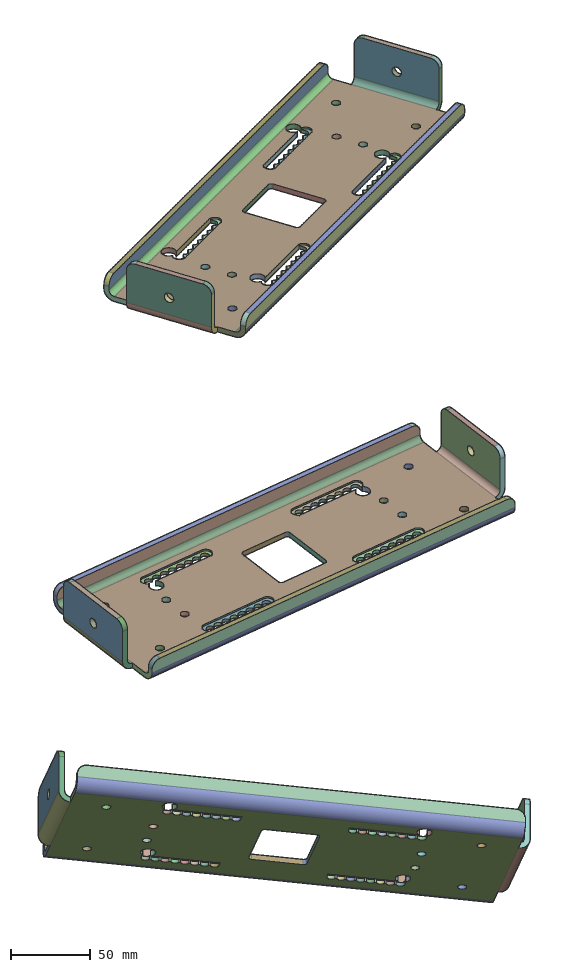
import cadquery as cq

OVERALL_WIDTH = 101.6
OVERALL_LENGTH = 303.53
OVERALL_HEIGHT = 38.1
THICKNESS = 3.81
INNER_BEND_RADIUS = 3.81
OUTER_BEND_RADIUS = INNER_BEND_RADIUS + THICKNESS
BODY_LENGTH = OVERALL_LENGTH - 2 * OUTER_BEND_RADIUS

FLANGE_HEIGHT = 16.51
TAB_WIDTH = 60.96
WALL_CORNER_RADIUS = 6.35
TAB_HOLE_DIAMETER = 6.73
TAB_HOLE_HEIGHT = 20.4

WINDOW_WIDTH = 41.0
WINDOW_LENGTH = 37.5
WINDOW_CORNER_RADIUS = 2.3

OUTER_HOLE_DIAMETER = 5.71
OUTER_HOLE_SPACING_X = 57.15
OUTER_HOLE_SPACING_Y = 241.6
INNER_HOLE_DIAMETER = 5.61
INNER_HOLE_SPACING_X = 19.05
INNER_HOLE_SPACING_Y = 172.72

SLOT_SPACING = 63.5
SCALLOP_DIAMETER = 5.61
SCALLOP_COUNT = 8
SCALLOP_PITCH = 6.35
SCALLOP_RUN = (SCALLOP_COUNT - 1) * SCALLOP_PITCH
LEFT_SCALLOP_X = -30.45
FIRST_SCALLOP_Y = 82.0
SLOT_CENTER_Y = FIRST_SCALLOP_Y - SCALLOP_RUN / 2
CHANNEL_WIDTH = 4.5
RECESS_WIDTH = 8.2
RECESS_LENGTH = 55
RECESS_DEPTH = 1.27
RECESS_OFFSET = 0.6
ENTRY_DIAMETER = 9.525
ENTRY_OFFSET = 7.62


def bent_channel(plane, bend_axis, width, height, length):
    """U-shaped bent sheet: profile on the plane, extruded equally both ways along the bend axis."""
    bend_edges = f"|{bend_axis} and <Z"
    envelope = (
        cq.Workplane(plane)
        .center(0, height / 2)
        .rect(width, height)
        .extrude(length / 2, both=True)
    )
    envelope = envelope.edges(bend_edges).fillet(OUTER_BEND_RADIUS)
    cavity = (
        cq.Workplane(plane)
        .center(0, THICKNESS + height / 2)
        .rect(width - 2 * THICKNESS, height)
        .extrude(length / 2, both=True)
        .edges(bend_edges)
        .fillet(INNER_BEND_RADIUS)
    )
    return envelope.cut(cavity)


def side_flanges():
    """Floor with a long low wall along each side, outer top corners rounded."""
    channel = bent_channel("XZ", "Y", OVERALL_WIDTH, FLANGE_HEIGHT, BODY_LENGTH)
    return channel.edges("|X and >Z").fillet(WALL_CORNER_RADIUS)


def end_tabs():
    """Narrow strip of floor with a tall drilled tab at each end, top corners rounded."""
    channel = bent_channel("YZ", "X", OVERALL_LENGTH, OVERALL_HEIGHT, TAB_WIDTH)
    channel = channel.edges("|Y and >Z").fillet(WALL_CORNER_RADIUS)
    tab_holes = (
        cq.Workplane("XZ")
        .center(0, TAB_HOLE_HEIGHT)
        .circle(TAB_HOLE_DIAMETER / 2)
        .extrude(OVERALL_LENGTH, both=True)
    )
    return channel.cut(tab_holes)


def floor_holes(diameter, x_spacing, y_spacing):
    """Four through holes centered on the plate."""
    return (
        cq.Workplane("XY")
        .rect(x_spacing, y_spacing, forConstruction=True)
        .vertices()
        .circle(diameter / 2)
        .extrude(THICKNESS)
    )


def window():
    """Rounded rectangular opening in the middle of the floor."""
    return (
        cq.Workplane("XY")
        .rect(WINDOW_WIDTH, WINDOW_LENGTH)
        .extrude(THICKNESS)
        .edges("|Z")
        .fillet(WINDOW_CORNER_RADIUS)
    )


def through_box(left_x, width, length):
    """Block through the floor, centered on the slot along Y."""
    return (
        cq.Workplane("XY", origin=(left_x + width / 2, SLOT_CENTER_Y, 0))
        .rect(width, length)
        .extrude(THICKNESS)
    )


def through_hole(x, y, diameter):
    """Round cutter through the floor."""
    return cq.Workplane("XY", origin=(x, y, 0)).circle(diameter / 2).extrude(THICKNESS)


def toothed_slot(scallop_x):
    """Through channel with a scalloped +X side, an entry hole and a shallow recess on top."""
    recess_x = scallop_x + RECESS_OFFSET
    slot_left_x = recess_x - RECESS_WIDTH / 2
    recess = (
        cq.Workplane("XY", origin=(recess_x, SLOT_CENTER_Y, THICKNESS - RECESS_DEPTH))
        .slot2D(RECESS_LENGTH, RECESS_WIDTH, 90)
        .extrude(RECESS_DEPTH)
    )
    slot = recess.union(through_box(slot_left_x, CHANNEL_WIDTH, SCALLOP_RUN))
    slot = slot.union(through_box(slot_left_x, scallop_x - slot_left_x, SCALLOP_RUN + SCALLOP_DIAMETER))
    for index in range(SCALLOP_COUNT):
        scallop_y = FIRST_SCALLOP_Y - index * SCALLOP_PITCH
        slot = slot.union(through_hole(scallop_x, scallop_y, SCALLOP_DIAMETER))
    return slot.union(through_hole(scallop_x - ENTRY_OFFSET, FIRST_SCALLOP_Y, ENTRY_DIAMETER))


result = side_flanges().union(end_tabs())
result = result.cut(window())
result = result.cut(floor_holes(OUTER_HOLE_DIAMETER, OUTER_HOLE_SPACING_X, OUTER_HOLE_SPACING_Y))
result = result.cut(floor_holes(INNER_HOLE_DIAMETER, INNER_HOLE_SPACING_X, INNER_HOLE_SPACING_Y))
for slot_x in (LEFT_SCALLOP_X, LEFT_SCALLOP_X + SLOT_SPACING):
    slot = toothed_slot(slot_x)
    result = result.cut(slot).cut(slot.mirror("XZ"))